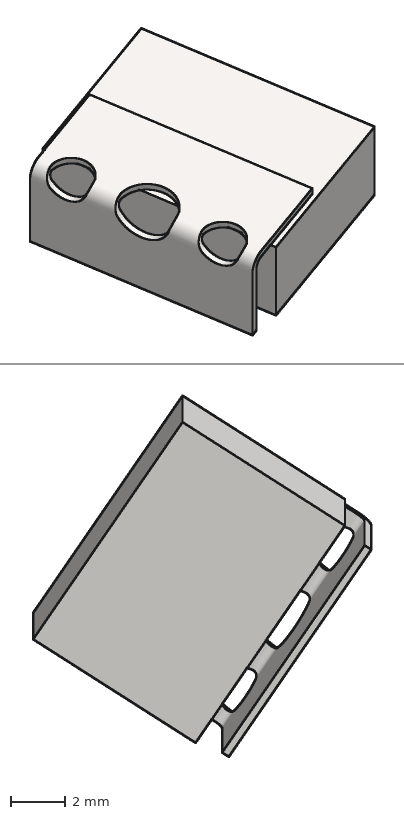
import cadquery as cq
import math

block_width = 10.0
block_depth = 7.2
block_height = 3.62

sheet_width = 9.54
sheet_thickness = 0.3
sheet_front_gap = 1.02
sheet_overlap = 3.04
inner_bend_radius = 0.31

centre_hole_radius = 1.2
side_hole_radius = 0.9
side_hole_offset = 3.25
hole_past_bend_start = 0.18
bend_flat_length = 0.78
bend_sections = 9
cut_margin = 0.1

sheet_top = block_height + sheet_thickness
sheet_front = -sheet_front_gap - sheet_thickness
outer_bend_radius = inner_bend_radius + sheet_thickness
bend_y = sheet_front + outer_bend_radius
bend_z = sheet_top - outer_bend_radius


def make_block():
    return cq.Workplane("XY").box(
        block_width, block_depth, block_height, centered=(True, False, False)
    )


def make_sheet():
    """L-shaped strip: flat top, quarter-circle bend and vertical front leg."""
    diagonal = math.sqrt(0.5)
    outer_mid = (bend_y - outer_bend_radius * diagonal, bend_z + outer_bend_radius * diagonal)
    inner_mid = (bend_y - inner_bend_radius * diagonal, bend_z + inner_bend_radius * diagonal)
    return (
        cq.Workplane("YZ")
        .moveTo(sheet_overlap, sheet_top)
        .lineTo(bend_y, sheet_top)
        .threePointArc(outer_mid, (sheet_front, bend_z))
        .lineTo(sheet_front, 0)
        .lineTo(-sheet_front_gap, 0)
        .lineTo(-sheet_front_gap, bend_z)
        .threePointArc(inner_mid, (bend_y, block_height))
        .lineTo(sheet_overlap, block_height)
        .close()
        .extrude(sheet_width / 2, both=True)
    )


def top_cut(x, radius):
    """Part of the opening in the flat top, ending where the bend starts."""
    disc = (
        cq.Workplane("XY", origin=(x, bend_y - hole_past_bend_start, block_height))
        .circle(radius)
        .extrude(sheet_thickness)
    )
    keep = cq.Workplane("XY", origin=(x, bend_y, block_height)).box(
        2 * radius, 2 * radius, sheet_thickness, centered=(True, False, False)
    )
    return disc.intersect(keep)


def front_cut(x, radius):
    """Part of the opening in the vertical leg, starting where the bend ends."""
    hole_above_bend_end = bend_flat_length - hole_past_bend_start
    disc = (
        cq.Workplane("XZ", origin=(x, -sheet_front_gap, bend_z + hole_above_bend_end))
        .circle(radius)
        .extrude(sheet_thickness)
    )
    keep = cq.Workplane("XZ", origin=(x, -sheet_front_gap, bend_z - radius)).box(
        2 * radius, radius, sheet_thickness, centered=(True, False, False)
    )
    return disc.intersect(keep)


def bend_cut(x, radius):
    """Part of the opening wrapped around the bend, with walls square to the sheet."""
    cut_inner = inner_bend_radius - cut_margin
    cut_outer = outer_bend_radius + cut_margin
    outlines = []
    for step in range(bend_sections):
        fraction = step / (bend_sections - 1)
        angle = fraction * math.pi / 2
        along_sheet = fraction * bend_flat_length - hole_past_bend_start
        half_width = math.sqrt(radius**2 - along_sheet**2)
        corners = []
        for side, distance in ((-1, cut_inner), (1, cut_inner), (1, cut_outer), (-1, cut_outer)):
            corners.append(
                cq.Vector(
                    x + side * half_width,
                    bend_y - distance * math.sin(angle),
                    bend_z + distance * math.cos(angle),
                )
            )
        outlines.append(cq.Wire.makePolygon(corners, close=True))
    return cq.Workplane(cq.Solid.makeLoft(outlines))


def punch_hole(sheet, x, radius):
    for cut in (top_cut, bend_cut, front_cut):
        sheet = sheet.cut(cut(x, radius))
    return sheet


sheet = make_sheet()
sheet = punch_hole(sheet, 0, centre_hole_radius)
for side in (-1, 1):
    sheet = punch_hole(sheet, side * side_hole_offset, side_hole_radius)

result = make_block().union(sheet)